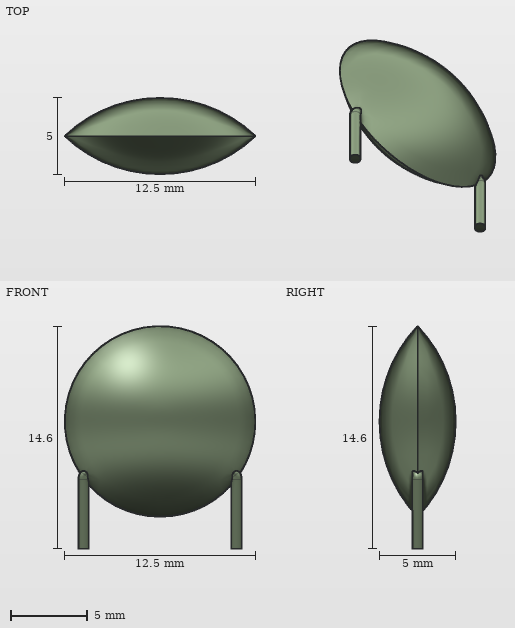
import math

import cadquery as cq

total_height = 14.59
disc_diameter = 12.49
disc_thickness = 5.0
disc_radius = disc_diameter / 2
half_thickness = disc_thickness / 2
disc_center_z = total_height - disc_radius

lead_diameter = 0.7
lead_spacing = 10.01
lead_straight_height = 4.55
lead_bend_radius = 0.5
lead_bend_angle = 37.0
lead_embedded_length = 0.58


def make_disc():
    """Revolve a half lens: two equal spherical caps meeting at a sharp rim, axis along Y."""
    cap_sphere_radius = (disc_radius**2 + half_thickness**2) / (2 * half_thickness)
    half_lens = (
        cq.Workplane("XY")
        .moveTo(0, -half_thickness)
        .radiusArc((disc_radius, 0), -cap_sphere_radius)
        .radiusArc((0, half_thickness), -cap_sphere_radius)
        .close()
    )
    lens = half_lens.revolve(360, (0, 0, 0), (0, 1, 0))
    return lens.translate((0, 0, disc_center_z))


def make_lead(side):
    """Sweep a round wire up and then inward; side is -1 for the -X lead and +1 for the +X lead."""
    lead_x = side * lead_spacing / 2

    def bend_point(angle):
        x = lead_x - side * lead_bend_radius * (1 - math.cos(angle))
        z = lead_straight_height + lead_bend_radius * math.sin(angle)
        return (x, z)

    end_angle = math.radians(lead_bend_angle)
    bend_end_x, bend_end_z = bend_point(end_angle)
    tip_x = bend_end_x - side * lead_embedded_length * math.sin(end_angle)
    tip_z = bend_end_z + lead_embedded_length * math.cos(end_angle)
    path = (
        cq.Workplane("XZ")
        .moveTo(lead_x, 0)
        .lineTo(lead_x, lead_straight_height)
        .threePointArc(bend_point(end_angle / 2), (bend_end_x, bend_end_z))
        .lineTo(tip_x, tip_z)
    )
    return cq.Workplane("XY").center(lead_x, 0).circle(lead_diameter / 2).sweep(path)


result = make_disc()
for side in (-1, 1):
    result = result.union(make_lead(side))